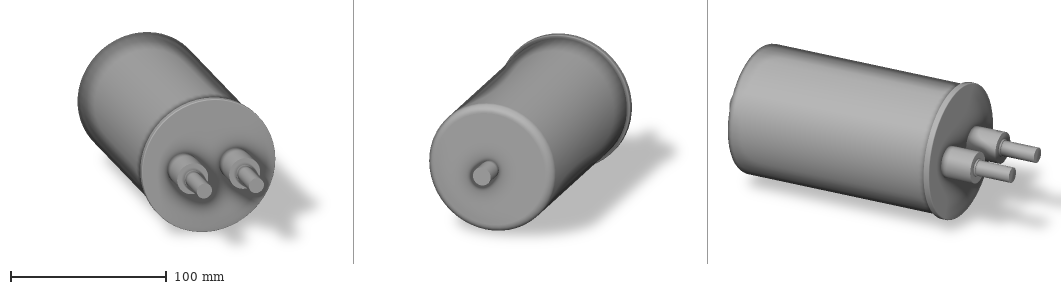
import cadquery as cq

total_length = 211.0

stud_diameter = 12.0
stud_length = 16.0

can_diameter = 85.7
can_edge_radius = 5.0

rim_diameter = 90.0
rim_width = 4.2
rim_edge_radius = 0.6

terminal_spacing = 35.0
insulator_diameter = 20.9
insulator_length = 21.0
collar_diameter = 11.8
collar_length = 1.0
pin_diameter = 10.1
pin_length = 24.0

stud_start = -total_length / 2
can_start = stud_start + stud_length
pin_end = total_length / 2
collar_end = pin_end - pin_length
insulator_end = collar_end - collar_length
can_end = insulator_end - insulator_length
rim_start = can_end - rim_width


def cylinder_x(diameter, start, end, y=0.0):
    """Solid cylinder along X between two stations, offset in Y."""
    return (
        cq.Workplane("YZ", origin=(start, y, 0))
        .circle(diameter / 2)
        .extrude(end - start)
    )


def make_can():
    return cylinder_x(can_diameter, can_start, can_end).faces("<X").edges().fillet(can_edge_radius)


def make_rim():
    return cylinder_x(rim_diameter, rim_start, can_end).edges("%CIRCLE").fillet(rim_edge_radius)


def make_terminal(y):
    insulator = cylinder_x(insulator_diameter, can_end, insulator_end, y)
    collar = cylinder_x(collar_diameter, insulator_end, collar_end, y)
    pin = cylinder_x(pin_diameter, collar_end, pin_end, y)
    return insulator.union(collar).union(pin)


stud = cylinder_x(stud_diameter, stud_start, can_start)
result = make_can().union(make_rim()).union(stud)
for side in (-1, 1):
    result = result.union(make_terminal(side * terminal_spacing / 2))